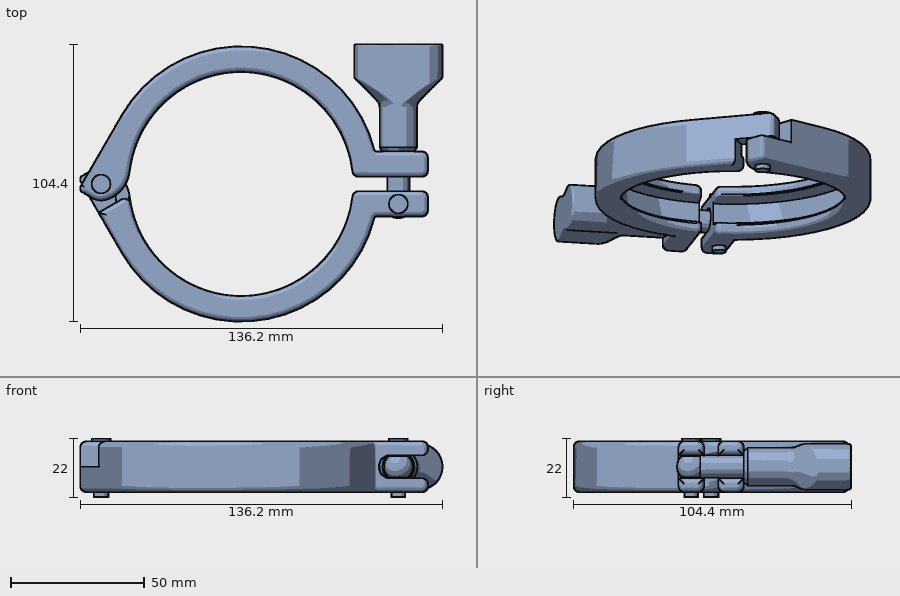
import cadquery as cq
import math


outer_radius = 51.8
bore_radius = 42.1
height = 19.2
half_height = height / 2
edge_radius = 2.3
corner_radius = 2.5
groove_radius = 47.4
groove_floor_width = 7.4
groove_lip_radius = 0.5
groove_flank_angle = math.radians(20)

cut_overshoot = 1.4
position_tolerance = 0.01

hinge_x = -52.6
arm_angle = math.radians(150)
hinge_radius = outer_radius - hinge_x * math.cos(arm_angle)
hinge_corner_radius = 1.6
hinge_blend_radius = 12.7
hinge_clearance = 8.9

ear_end_x = 70.3
ear_gap = 5.3
ear_inner_y = ear_gap / 2
ear_outer_y = 12.3
slot_width = 8.6
slot_start_x = 51.8
ear_root_radius = 1.0

pin_head_diameter = 7.1
pin_head_height = 1.0
pin_tail_height = 1.8
hinge_pin_diameter = 5.6
bolt_pin_diameter = 5.2

bolt_x = 59.1
bolt_pin_y = -7.5
rod_diameter = 8.5
ball_diameter = 10.8
ball_thickness = 7.9

knob_end_y = 52.6
knob_width = 33.2
lobe_radius = 8.6
waist_radius = 14.3
shank_radius = 7.1
shank_chamfer = 1.1
shank_chamfer_length = 1.5
cone_start_y = 39.9
shank_blend_radius = 3.4
knob_edge_radius = 0.8


def on_circle(radius, angle, center=(0, 0)):
    return (center[0] + radius * math.cos(angle), center[1] + radius * math.sin(angle))


def angle_of(point, center=(0, 0)):
    return math.atan2(point[1] - center[1], point[0] - center[0])


def mid_arc(radius, start, end, center=(0, 0)):
    """Point halfway along the arc that runs between two points of a circle."""
    middle = ((start[0] + end[0]) / 2, (start[1] + end[1]) / 2)
    return on_circle(radius, angle_of(middle, center), center)


def layer(outline, base_z, corners):
    """Half-height slab of an outline, with its listed upright corners rounded."""
    slab = outline.close().extrude(half_height).translate((0, 0, base_z))
    for point, radius in corners:
        nearest = cq.selectors.NearestToPointSelector((point[0], point[1], base_z + half_height / 2))
        slab = slab.edges("|Z").edges(nearest).fillet(radius)
    return slab


def half_body():
    """Solid half ring on the +Y side, with the knuckle in its upper layer only."""
    hinge = (hinge_x, 0)
    ear_bore = (math.sqrt(bore_radius**2 - ear_inner_y**2), ear_inner_y)
    ear_tip_inner = (ear_end_x, ear_inner_y)
    ear_tip_outer = (ear_end_x, ear_outer_y)
    ear_ring = (math.sqrt(outer_radius**2 - ear_outer_y**2), ear_outer_y)
    ear_corners = [(point, corner_radius) for point in (ear_bore, ear_tip_inner, ear_tip_outer)]
    ear_corners.append((ear_ring, ear_root_radius))

    arm_start = on_circle(outer_radius, arm_angle)
    knuckle_start = on_circle(hinge_radius, arm_angle + math.pi / 2, hinge)
    knuckle_corner = on_circle(hinge_radius, arm_angle, knuckle_start)

    to_hinge = hinge_blend_radius - hinge_radius
    to_bore_axis = hinge_blend_radius + bore_radius
    blend_x = (to_bore_axis**2 - to_hinge**2 + hinge_x**2) / (2 * hinge_x)
    blend = (blend_x, math.sqrt(to_bore_axis**2 - blend_x**2))
    knuckle_end = on_circle(hinge_radius, angle_of(hinge, blend), hinge)
    bore_start = on_circle(bore_radius, angle_of(blend))

    cut_run = -hinge_x * math.sin(arm_angle) - hinge_clearance
    cut_outer = on_circle(cut_run, arm_angle + math.pi / 2, arm_start)
    cut_inner = on_circle(bore_radius, arm_angle + math.asin(cut_run / bore_radius))

    def outer_side():
        """Outline from the ear's bore corner, around the outside, to the start of the arm."""
        return (
            cq.Workplane("XY")
            .moveTo(*ear_bore)
            .lineTo(*ear_tip_inner)
            .lineTo(*ear_tip_outer)
            .lineTo(*ear_ring)
            .threePointArc((0, outer_radius), arm_start)
        )

    knuckle_outline = (
        outer_side()
        .lineTo(*knuckle_corner)
        .lineTo(*knuckle_start)
        .threePointArc(mid_arc(hinge_radius, knuckle_start, knuckle_end, hinge), knuckle_end)
        .threePointArc(mid_arc(hinge_blend_radius, knuckle_end, bore_start, blend), bore_start)
        .threePointArc((0, bore_radius), ear_bore)
    )
    short_outline = (
        outer_side()
        .lineTo(*cut_outer)
        .lineTo(*cut_inner)
        .threePointArc((0, bore_radius), ear_bore)
    )
    upper = layer(knuckle_outline, 0, ear_corners + [(knuckle_corner, hinge_corner_radius)])
    lower = layer(short_outline, -half_height, ear_corners + [(cut_inner, corner_radius)])
    return upper.union(lower).faces("<Z or >Z").edges().fillet(edge_radius)


def groove_half_width(radius):
    """Half the groove's width along Z at a distance from the bore axis."""
    return groove_floor_width / 2 + (groove_radius - radius) * math.tan(groove_flank_angle)


def groove():
    """Flared groove around the bore that grips the flanges."""
    mouth_radius = bore_radius - cut_overshoot
    mouth = groove_half_width(mouth_radius)
    floor = groove_half_width(groove_radius)
    return (
        cq.Workplane("XZ")
        .moveTo(mouth_radius, -mouth)
        .lineTo(groove_radius, -floor)
        .lineTo(groove_radius, floor)
        .lineTo(mouth_radius, mouth)
        .close()
        .revolve(360, (0, 0, 0), (0, 1, 0))
    )


def bolt_slot():
    """Round-ended slot through the ear, open at the ear's tip, with rounded lips."""
    half_width = slot_width / 2
    round_end = (slot_start_x + half_width, 0)
    round_middle = on_circle(half_width, math.radians(135), round_end)
    lip_center = (ear_end_x - corner_radius, half_width + corner_radius)
    lip_middle = on_circle(corner_radius, math.radians(-45), lip_center)
    return (
        cq.Workplane("XZ")
        .moveTo(slot_start_x, 0)
        .threePointArc(round_middle, (round_end[0], half_width))
        .lineTo(lip_center[0], half_width)
        .threePointArc(lip_middle, (ear_end_x, lip_center[1]))
        .lineTo(ear_end_x, 0)
        .mirrorX()
        .extrude(-2 * ear_outer_y)
    )


def clamp_half():
    """Half ring with its groove, rounded groove lips and bolt slot."""
    lip_z = groove_half_width(bore_radius)

    def is_groove_lip(edge):
        return abs(abs(edge.Center().z) - lip_z) < position_tolerance

    half = half_body().cut(groove())
    half = half.edges("%CIRCLE").filter(is_groove_lip).fillet(groove_lip_radius)
    return half.cut(bolt_slot())


def pin(x, y, diameter):
    """Headed pin through the full height, standing proud at both ends."""
    tail_z = -half_height - pin_tail_height
    shaft = cq.Workplane("XY", origin=(x, y, tail_z)).circle(diameter / 2).extrude(height + pin_tail_height)
    head = cq.Workplane("XY", origin=(x, y, half_height)).circle(pin_head_diameter / 2).extrude(pin_head_height)
    return shaft.union(head)


def swing_bolt():
    """Rod along Y with a flattened ball around its swivel pin."""
    ball = cq.Workplane("XY").sphere(ball_diameter / 2)
    ball = ball.intersect(cq.Workplane("XY").box(ball_diameter, ball_diameter, ball_thickness))
    rod_start_y = math.sqrt(ball_diameter**2 - rod_diameter**2) / 2
    rod_length = cone_start_y - bolt_pin_y - rod_start_y
    rod = cq.Workplane("XZ", origin=(0, rod_start_y, 0)).circle(rod_diameter / 2).extrude(-rod_length)
    return ball.union(rod).translate((bolt_x, bolt_pin_y, 0))


def knob():
    """Two-lobed wing head that narrows through a cone to a round shank."""
    half_width = knob_width / 2
    lobe_x = half_width - lobe_radius
    waist_z = math.sqrt((lobe_radius + waist_radius) ** 2 - lobe_x**2)
    join_x = lobe_x * waist_radius / (lobe_radius + waist_radius)
    join_z = waist_z * lobe_radius / (lobe_radius + waist_radius)
    neck_z = waist_z - waist_radius
    wings = (
        cq.Workplane("XZ", origin=(0, ear_outer_y, 0))
        .moveTo(join_x, join_z)
        .threePointArc((half_width, 0), (join_x, -join_z))
        .threePointArc((0, -neck_z), (-join_x, -join_z))
        .threePointArc((-half_width, 0), (-join_x, join_z))
        .threePointArc((0, neck_z), (join_x, join_z))
        .close()
        .extrude(-(knob_end_y - ear_outer_y))
    )

    cone_end_y = cone_start_y - (half_width - shank_radius)
    envelope = (
        cq.Workplane("XY")
        .moveTo(0, ear_outer_y)
        .lineTo(shank_radius - shank_chamfer, ear_outer_y)
        .lineTo(shank_radius, ear_outer_y + shank_chamfer_length)
        .lineTo(shank_radius, cone_end_y)
        .lineTo(half_width, cone_start_y)
        .lineTo(half_width, knob_end_y)
        .lineTo(0, knob_end_y)
        .close()
        .revolve(360, (0, 0, 0), (0, 1, 0))
    )
    neck = cq.selectors.NearestToPointSelector((0, cone_end_y, 0))
    envelope = envelope.edges("%CIRCLE").edges(neck).fillet(shank_blend_radius)
    body = wings.intersect(envelope)
    body = body.faces(">Y").edges().fillet(knob_edge_radius)

    def on_shoulder(edge):
        center = edge.Center()
        return abs(center.x) > lobe_x and center.y < cone_start_y

    body = body.edges().filter(on_shoulder).fillet(knob_edge_radius)
    return body.translate((bolt_x, 0, 0))


upper_half = clamp_half()
lower_half = upper_half.rotate((0, 0, 0), (1, 0, 0), 180)
result = (
    upper_half.union(lower_half)
    .union(pin(hinge_x, 0, hinge_pin_diameter))
    .union(swing_bolt())
    .union(knob())
    .union(pin(bolt_x, bolt_pin_y, bolt_pin_diameter))
)